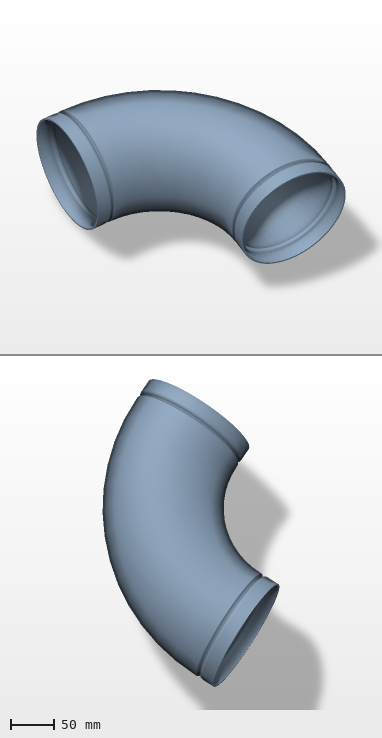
import cadquery as cq
import math

overall_size = 260.4
pipe_diameter = 139.8
bore_diameter = 135.6
straight_length = 25.5

groove_diameter = 134.5
collar_length = 15.4
groove_width = 8.3
near_slope = 50.0
near_shoulder_radius = 4.2
near_foot_radius = 0.3
far_slope = 60.0
far_shoulder_radius = 0.8
far_foot_radius = 2.3
smallest_radius = 0.3

pipe_radius = pipe_diameter / 2
bore_radius = bore_diameter / 2
groove_radius = groove_diameter / 2
wall = pipe_radius - bore_radius
groove_depth = pipe_radius - groove_radius
end_distance = overall_size - pipe_radius
bend_radius = end_distance - straight_length


def flank_points(edge, direction, slope, shoulder_radius, foot_radius, inset):
    """Tangent points of one groove flank, from its outer edge down to the groove floor.

    Direction is +1 when the flank falls away from the open end and -1 when it falls
    towards it. The flank keeps its shape as an offset curve when moved inward by inset.
    """
    angle = math.radians(slope)
    half_tangent = math.tan(angle / 2)
    surface = pipe_radius - inset
    floor = groove_radius - inset

    shoulder = edge + direction * (shoulder_radius - inset) * half_tangent
    foot = shoulder + direction * groove_depth / math.tan(angle)

    shoulder_tangent = max(shoulder_radius - inset, smallest_radius) * half_tangent
    foot_tangent = (foot_radius + inset) * half_tangent
    along = direction * math.cos(angle)
    down = math.sin(angle)
    return [
        (shoulder - direction * shoulder_tangent, surface),
        (shoulder + along * shoulder_tangent, surface - down * shoulder_tangent),
        (foot - along * foot_tangent, floor + down * foot_tangent),
        (foot + direction * foot_tangent, floor),
    ]


def grooved_end(inset):
    """Solid round end with its rolled groove, every surface moved inward by inset.

    The profile is drawn as (distance from the open end, radius). The pipe axis is X.
    """
    surface = pipe_radius - inset
    near_edge, near_shoulder, near_foot, floor_start = flank_points(
        collar_length, 1, near_slope, near_shoulder_radius, near_foot_radius, inset
    )
    far_edge, far_shoulder, far_foot, floor_end = flank_points(
        collar_length + groove_width, -1, far_slope, far_shoulder_radius, far_foot_radius, inset
    )
    return (
        cq.Workplane("XY")
        .lineTo(0, surface)
        .lineTo(*near_edge)
        .tangentArcPoint(near_shoulder, relative=False)
        .lineTo(*near_foot)
        .tangentArcPoint(floor_start, relative=False)
        .lineTo(*floor_end)
        .tangentArcPoint(far_foot, relative=False)
        .lineTo(*far_shoulder)
        .tangentArcPoint(far_edge, relative=False)
        .lineTo(straight_length, surface)
        .lineTo(straight_length, 0)
        .close()
        .revolve(360, (0, 0, 0), (1, 0, 0))
    )


def bend(radius):
    """Solid quarter bend that joins the -Y straight end to the +X straight end."""
    return (
        cq.Workplane("XZ", origin=(0, -bend_radius, 0))
        .circle(radius)
        .revolve(90, (bend_radius, 0, 0), (bend_radius, -1, 0))
    )


tube_end = grooved_end(0).cut(grooved_end(wall))
y_end = tube_end.rotate((0, 0, 0), (0, 0, 1), 90).translate((0, -end_distance, 0))
x_end = tube_end.rotate((0, 0, 0), (0, 0, 1), 180).translate((end_distance, 0, 0))
elbow = bend(pipe_radius).cut(bend(bore_radius))

result = elbow.union(y_end).union(x_end)